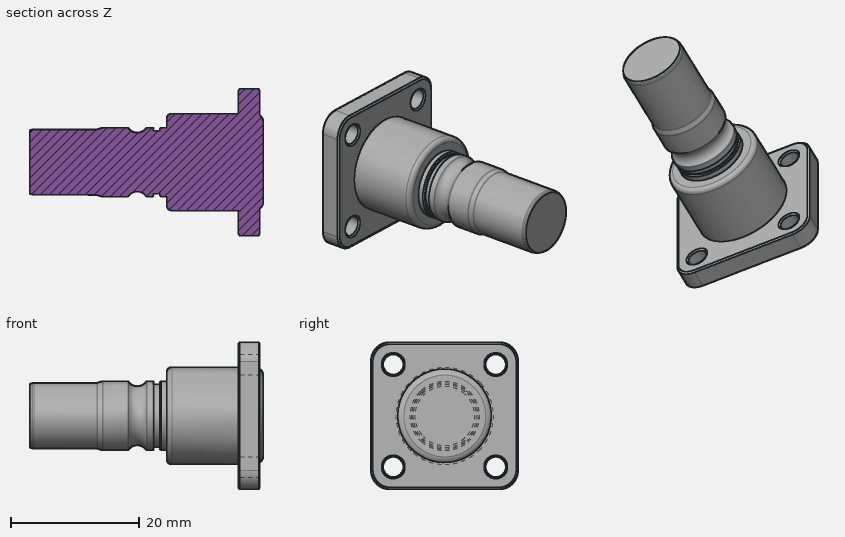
import cadquery as cq
import math

total_length = 36.5
tip_rings = [(0.0, 4.93), (0.22, 5.05), (0.45, 5.1)]
nose_end = 0.65
taper_start = 10.5
taper_end = 11.4
waist_start = 15.35
waist_end = 18.25
slot_start = 19.35
slot_end = 20.3
collar_start = 21.4
flange_start = 32.55
flange_end = 35.95

pin_radius = 5.15
band_radius = 5.4
waist_radius = 4.65
slot_radius = 4.93
collar_radius = 7.6

taper_fillet = 0.35
lip_fillet = 0.1
slot_chamfer = 0.22
collar_fillet = 0.8

pad_base_radius = 7.3
pad_mid_x = 36.35
pad_mid_radius = 6.83
pad_face_radius = 6.4

flange_side = 23.0
flange_corner_radius = 3.0
flange_chamfer_axial = 0.22
flange_chamfer_radial = 0.33
hole_spacing = 16.0
hole_diameter = 3.15
hole_chamfer = 0.25


def make_turned_body():
    """Revolve the half profile of the pin, collar and rear pad about X."""
    waist_middle = (waist_start + waist_end) / 2
    collar_fillet_offset = collar_fillet * (1 - math.sqrt(0.5))
    return (
        cq.Workplane("XY")
        .polyline([(0, 0)] + tip_rings)
        .lineTo(nose_end, pin_radius)
        .lineTo(taper_start, pin_radius)
        .lineTo(taper_end, band_radius)
        .lineTo(waist_start, band_radius)
        .threePointArc((waist_middle, waist_radius), (waist_end, band_radius))
        .lineTo(slot_start, band_radius)
        .lineTo(slot_start, slot_radius)
        .lineTo(slot_end, slot_radius)
        .lineTo(slot_end, band_radius - slot_chamfer)
        .lineTo(slot_end + slot_chamfer, band_radius)
        .lineTo(collar_start, band_radius)
        .lineTo(collar_start, collar_radius - collar_fillet)
        .threePointArc(
            (collar_start + collar_fillet_offset, collar_radius - collar_fillet_offset),
            (collar_start + collar_fillet, collar_radius),
        )
        .lineTo(flange_end, collar_radius)
        .lineTo(flange_end, pad_base_radius)
        .threePointArc((pad_mid_x, pad_mid_radius), (total_length, pad_face_radius))
        .lineTo(total_length, 0)
        .close()
        .revolve(360, (0, 0, 0), (1, 0, 0))
    )


def round_circular_edges(body, positions, radius):
    """Fillet the full circular edges lying at the given X positions."""
    margin = 0.02
    reach = band_radius + 0.35
    for x in positions:
        box = cq.selectors.BoxSelector((x - margin, -reach, -reach), (x + margin, reach, reach))
        rim = body.edges("%CIRCLE").edges(box)
        outer_rim = max(rim.vals(), key=lambda edge: edge.radius())
        body = body.newObject([body.val().fillet(radius, [outer_rim])])
    return body


def make_flange():
    """Square flange with rounded corners, bevelled faces and four holes."""
    flange = (
        cq.Workplane("YZ", origin=(flange_start, 0, 0))
        .rect(flange_side, flange_side)
        .extrude(flange_end - flange_start)
        .edges("|X")
        .fillet(flange_corner_radius)
        .faces("<X or >X")
        .chamfer(flange_chamfer_axial, flange_chamfer_radial)
    )
    holes = (
        cq.Workplane("YZ", origin=(flange_start, 0, 0))
        .rect(hole_spacing, hole_spacing, forConstruction=True)
        .vertices()
        .circle(hole_diameter / 2)
        .extrude(flange_end - flange_start)
    )
    flange = flange.cut(holes)
    smallest_circles = cq.selectors.RadiusNthSelector(0)
    hole_rims = flange.faces("<X or >X").edges("%CIRCLE").edges(smallest_circles)
    return hole_rims.chamfer(hole_chamfer)


body = make_turned_body()
body = round_circular_edges(body, [taper_start, taper_end], taper_fillet)
body = round_circular_edges(body, [waist_start, waist_end, slot_start], lip_fillet)

result = body.union(make_flange())